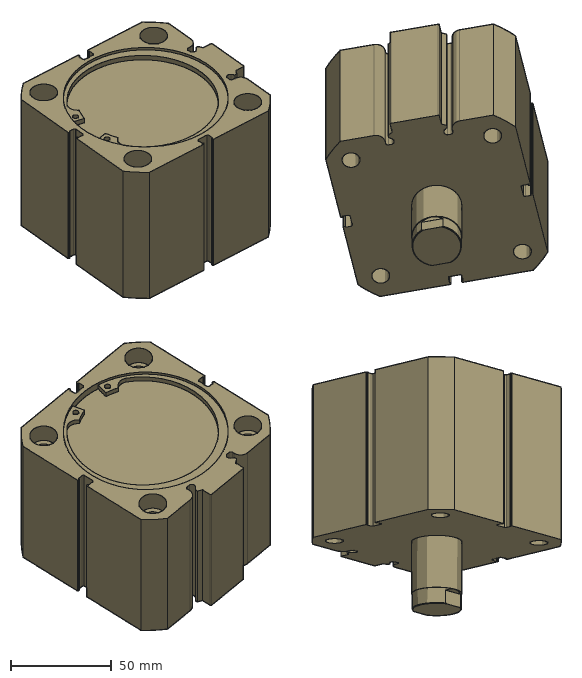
import cadquery as cq
import math


TOTAL_HEIGHT = 113.5
ROD_PROTRUSION = 34.8
HOUSING_HEIGHT = TOTAL_HEIGHT - ROD_PROTRUSION
HOUSING_WIDTH = 96.5
HALF_WIDTH = HOUSING_WIDTH / 2
CORNER_RADIUS = 62.0

RAIL_HALF_WIDTH = 12.5
RAIL_TOP = 53.8
RAIL_EDGE_FILLET = 0.5
LIP_HALF_WIDTH = 14.9
LIP_UPPER_Y = 47.0
LIP_LOWER_Y = 45.6
GROOVE_NECK_Y = 44.3
GROOVE_NECK_X = 13.3
GROOVE_INNER_X = 12.7
GROOVE_FLOOR_X = 14.1
GROOVE_OUTER_X = 17.0
GROOVE_FLOOR_Y = 41.2
GROOVE_FLOOR_RADIUS = 1.1
SHOULDER_RADIUS = 4.8

SLOT_MOUTH_WIDTH = 5.5
SLOT_WIDTH = 6.8
SLOT_DEPTH = 4.8
SLOT_LIP = 1.1
SLOT_FILLET = 0.9
SLOT_MOUTH_CHAMFER = 0.3
SLOT_ANGLES = (90, 180, 270)

HOLE_OFFSET = 36.0
HOLE_DIAMETER = 8.9
COUNTERBORE_DIAMETER = 13.7
COUNTERBORE_DEPTH = 10.2

BORE_RADIUS = 41.0
RING_RECESS = 1.5
RING_THICKNESS = 2.7
COVER_THICKNESS = 9.1
RING_BOTTOM = HOUSING_HEIGHT - RING_RECESS - RING_THICKNESS
COVER_BOTTOM = RING_BOTTOM - COVER_THICKNESS
RING_INNER_RADIUS = 37.7
RING_INNER_OFFSET = -2.0
EAR_RADIUS = 34.3
EAR_GAP_ANGLE = 13.6
EAR_OUTER_ANGLE = 25.7
EAR_HOLE_X = 12.0
EAR_HOLE_Y = -35.6
EAR_HOLE_DIAMETER = 3.0
EAR_FILLET_MIDDLE = (18.5, -33.3)
EAR_FILLET_END_X = 22.2

ROD_RADIUS = 12.5
TIP_RADIUS = 12.3
TIP_LENGTH = 8.2
TIP_CHAMFER = 0.3
FLAT_DISTANCE = 11.0


def mirrored(point):
    return (-point[0], point[1])


def below_axis(radius, angle):
    """Point at a radius and an angle measured from -Y towards +X."""
    turn = math.radians(angle)
    return (radius * math.sin(turn), -radius * math.cos(turn))


def housing_outline():
    body = (
        cq.Workplane("XY")
        .rect(HOUSING_WIDTH, HOUSING_WIDTH)
        .extrude(HOUSING_HEIGHT)
        .intersect(cq.Workplane("XY").circle(CORNER_RADIUS).extrude(HOUSING_HEIGHT))
    )
    rail = (
        cq.Workplane("XY")
        .rect(2 * RAIL_HALF_WIDTH, 2 * RAIL_TOP)
        .extrude(HOUSING_HEIGHT)
        .edges("|Z and >Y")
        .fillet(RAIL_EDGE_FILLET)
    )
    rail = rail.intersect(
        cq.Workplane("XY").rect(HOUSING_WIDTH, RAIL_TOP, centered=(True, False)).extrude(HOUSING_HEIGHT)
    )
    return body.union(rail)


def rail_groove():
    """Undercut groove on the +X side of the rail."""
    floor_diagonal = GROOVE_FLOOR_RADIUS * (1 - math.sqrt(0.5))
    shoulder_x = GROOVE_OUTER_X + SHOULDER_RADIUS
    shoulder_y = HALF_WIDTH - SHOULDER_RADIUS
    arc_reach = SHOULDER_RADIUS * math.sqrt(0.5)
    return (
        cq.Workplane("XY")
        .moveTo(RAIL_HALF_WIDTH, HALF_WIDTH)
        .lineTo(LIP_HALF_WIDTH, LIP_UPPER_Y)
        .lineTo(LIP_HALF_WIDTH, LIP_LOWER_Y)
        .lineTo(GROOVE_NECK_X, GROOVE_NECK_Y)
        .threePointArc(
            (GROOVE_INNER_X, (GROOVE_NECK_Y + GROOVE_FLOOR_Y) / 2),
            (GROOVE_FLOOR_X, GROOVE_FLOOR_Y),
        )
        .lineTo(GROOVE_OUTER_X - GROOVE_FLOOR_RADIUS, GROOVE_FLOOR_Y)
        .threePointArc(
            (GROOVE_OUTER_X - floor_diagonal, GROOVE_FLOOR_Y + floor_diagonal),
            (GROOVE_OUTER_X, GROOVE_FLOOR_Y + GROOVE_FLOOR_RADIUS),
        )
        .lineTo(GROOVE_OUTER_X, shoulder_y)
        .threePointArc(
            (shoulder_x - arc_reach, shoulder_y + arc_reach),
            (shoulder_x, HALF_WIDTH),
        )
        .close()
        .extrude(HOUSING_HEIGHT)
    )


def sensor_slot():
    """T-shaped slot cutter opening on the +Y side."""
    mouth_half = SLOT_MOUTH_WIDTH / 2
    opening_half = mouth_half + SLOT_MOUTH_CHAMFER
    mouth = (
        cq.Workplane("XY")
        .polyline([
            (-opening_half, HALF_WIDTH),
            (-mouth_half, HALF_WIDTH - SLOT_MOUTH_CHAMFER),
            (-mouth_half, HALF_WIDTH - SLOT_DEPTH),
            (mouth_half, HALF_WIDTH - SLOT_DEPTH),
            (mouth_half, HALF_WIDTH - SLOT_MOUTH_CHAMFER),
            (opening_half, HALF_WIDTH),
        ])
        .close()
        .extrude(HOUSING_HEIGHT)
    )
    pocket = (
        cq.Workplane("XY")
        .center(0, HALF_WIDTH - (SLOT_LIP + SLOT_DEPTH) / 2)
        .rect(SLOT_WIDTH, SLOT_DEPTH - SLOT_LIP)
        .extrude(HOUSING_HEIGHT)
        .edges("|Z and <Y")
        .fillet(SLOT_FILLET)
    )
    return mouth.union(pocket)


def make_housing():
    body = housing_outline()

    groove = rail_groove()
    body = body.cut(groove).cut(groove.mirror("YZ"))

    slot = sensor_slot()
    for angle in SLOT_ANGLES:
        body = body.cut(slot.rotate((0, 0, 0), (0, 0, 1), angle))

    body = (
        body.faces(">Z")
        .workplane(origin=(0, 0, HOUSING_HEIGHT))
        .rect(2 * HOLE_OFFSET, 2 * HOLE_OFFSET, forConstruction=True)
        .vertices()
        .cboreHole(HOLE_DIAMETER, COUNTERBORE_DIAMETER, COUNTERBORE_DEPTH)
    )

    bore = (
        cq.Workplane("XY")
        .workplane(offset=COVER_BOTTOM)
        .circle(BORE_RADIUS)
        .extrude(HOUSING_HEIGHT - COVER_BOTTOM)
    )
    rod_hole = cq.Workplane("XY").circle(ROD_RADIUS).extrude(COVER_BOTTOM)
    return body.cut(bore).cut(rod_hole)


def make_cover():
    return (
        cq.Workplane("XY")
        .workplane(offset=COVER_BOTTOM)
        .circle(BORE_RADIUS)
        .extrude(COVER_THICKNESS)
    )


def make_retaining_ring():
    """Open ring with an eccentric inner edge and a drilled ear on each side of the gap."""
    gap_outer = below_axis(BORE_RADIUS, EAR_GAP_ANGLE)
    gap_inner = below_axis(EAR_RADIUS, EAR_GAP_ANGLE)
    ear_middle = below_axis(EAR_RADIUS, (EAR_GAP_ANGLE + EAR_OUTER_ANGLE) / 2)
    ear_corner = below_axis(EAR_RADIUS, EAR_OUTER_ANGLE)
    fillet_drop = math.sqrt(RING_INNER_RADIUS**2 - EAR_FILLET_END_X**2)
    fillet_end = (EAR_FILLET_END_X, RING_INNER_OFFSET - fillet_drop)
    return (
        cq.Workplane("XY")
        .workplane(offset=RING_BOTTOM)
        .moveTo(*gap_outer)
        .threePointArc((0, BORE_RADIUS), mirrored(gap_outer))
        .lineTo(*mirrored(gap_inner))
        .threePointArc(mirrored(ear_middle), mirrored(ear_corner))
        .threePointArc(mirrored(EAR_FILLET_MIDDLE), mirrored(fillet_end))
        .threePointArc((0, RING_INNER_OFFSET + RING_INNER_RADIUS), fillet_end)
        .threePointArc(EAR_FILLET_MIDDLE, ear_corner)
        .threePointArc(ear_middle, gap_inner)
        .close()
        .extrude(RING_THICKNESS)
        .faces(">Z")
        .workplane(origin=(0, 0, 0))
        .pushPoints([(-EAR_HOLE_X, EAR_HOLE_Y), (EAR_HOLE_X, EAR_HOLE_Y)])
        .hole(EAR_HOLE_DIAMETER)
    )


def make_rod():
    """Rod from the cover down to a slightly thinner tip with two wrench flats."""
    tip_bottom = -ROD_PROTRUSION
    tip_top = tip_bottom + TIP_LENGTH
    rod = (
        cq.Workplane("YZ")
        .polyline([
            (0, tip_bottom),
            (-TIP_RADIUS + TIP_CHAMFER, tip_bottom),
            (-TIP_RADIUS, tip_bottom + TIP_CHAMFER),
            (-TIP_RADIUS, tip_top),
            (-ROD_RADIUS, tip_top),
            (-ROD_RADIUS, COVER_BOTTOM),
            (0, COVER_BOTTOM),
        ])
        .close()
        .revolve(360, (0, 0, 0), (0, 1, 0))
    )
    run_out = TIP_RADIUS - FLAT_DISTANCE
    flat = (
        cq.Workplane("YZ")
        .polyline([
            (FLAT_DISTANCE, tip_bottom),
            (FLAT_DISTANCE, tip_top - run_out),
            (TIP_RADIUS, tip_top),
            (ROD_RADIUS, tip_top),
            (ROD_RADIUS, tip_bottom),
        ])
        .close()
        .extrude(ROD_RADIUS, both=True)
    )
    return rod.cut(flat).cut(flat.mirror("XZ"))


housing = make_housing()
cover = make_cover()
retaining_ring = make_retaining_ring()
rod = make_rod()

result = cq.Compound.makeCompound([housing.val(), cover.val(), retaining_ring.val(), rod.val()])